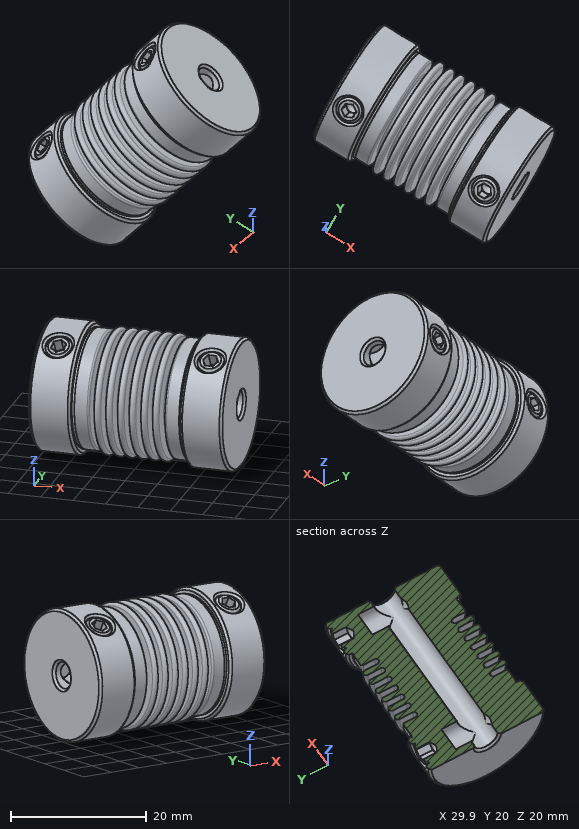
import cadquery as cq
import math

length = 29.9
hub_diameter = 20.0
hub_width = 6.5
hub_chamfer = 0.4

neck_radius = 9.1
neck_width = 0.4
collar_radius = 9.12
collar_width = 2.25
collar_fillet = 0.3

fin_count = 6
fin_radius = 9.6
fin_width = 0.95
valley_radius = 6.4

bore_radius = 2.0
bore_chamfer = 0.4

screw_radius = 2.0
screw_length = 5.0
screw_chamfer = 0.42
screws_per_hub = 2
screw_spacing_angle = 120.0
screw_hole_chamfer = 0.4
socket_sides = 6
socket_flats = 2.0
socket_depth = 2.33
socket_point_angle = 120.0

left_screw_angle = 58.0
left_screw_face = 9.7
left_socket_turn = 5.0
right_screw_angle = 59.4
right_screw_face = 9.8
right_socket_turn = 30.0

hub_radius = hub_diameter / 2
half_length = length / 2
hub_inner_end = half_length - hub_width
collar_outer_end = hub_inner_end - neck_width
collar_inner_end = collar_outer_end - collar_width
hub_middle = half_length - hub_width / 2
valley_width = (2 * collar_inner_end - fin_count * fin_width) / (fin_count + 1)


def x_cylinder(start_x, end_x, radius):
    return cq.Workplane("YZ", origin=(start_x, 0, 0)).circle(radius).extrude(end_x - start_x)


def place_radially(body, angle):
    """Turn a body built along +Z to an angle from -Y and move it to the +X hub."""
    return body.rotate((0, 0, 0), (1, 0, 0), 90 - angle).translate((hub_middle, 0, 0))


def hub_surface_point(angle):
    """Point on the middle of the +X hub's round surface, at an angle from -Y."""
    turn = math.radians(angle)
    return (hub_middle, -hub_radius * math.cos(turn), hub_radius * math.sin(turn))


def make_screw(face_height, socket_turn):
    """Set screw along +Z with a hexagon socket that ends in a drill point."""
    body = (
        cq.Workplane("XY", origin=(0, 0, face_height - screw_length))
        .circle(screw_radius)
        .extrude(screw_length)
        .faces(">Z")
        .chamfer(screw_chamfer)
    )
    floor_height = face_height - socket_depth
    hexagon = (
        cq.Workplane("XY", origin=(0, 0, floor_height))
        .polygon(socket_sides, socket_flats, circumscribed=True)
        .extrude(socket_depth)
    )
    point_radius = socket_flats / 2
    point_depth = point_radius / math.tan(math.radians(socket_point_angle / 2))
    point_base = cq.Vector(0, 0, floor_height)
    point = cq.Workplane(
        cq.Solid.makeCone(point_radius, 0, point_depth, point_base, cq.Vector(0, 0, -1))
    )
    socket = hexagon.union(point).rotate((0, 0, 0), (0, 0, 1), socket_turn)
    return body.cut(socket)


def make_hub(first_screw_angle, screw_face, socket_turn):
    """Hub of the +X end with its chamfered screw holes and set screws."""
    hub = x_cylinder(hub_inner_end, half_length, hub_radius).edges().chamfer(hub_chamfer)
    hub = hub.rotate((0, 0, 0), (1, 0, 0), -90)
    hole = cq.Workplane("XY").circle(screw_radius).extrude(hub_diameter)
    screw = make_screw(screw_face, socket_turn)
    screw_angles = [first_screw_angle + i * screw_spacing_angle for i in range(screws_per_hub)]

    for angle in screw_angles:
        hub = hub.cut(place_radially(hole, angle))
        rim = cq.selectors.NearestToPointSelector(hub_surface_point(angle))
        hub = hub.edges(rim).chamfer(screw_hole_chamfer)
    for angle in screw_angles:
        hub = hub.union(place_radially(screw, angle))
    return hub


def make_neck_and_collar():
    """Neck and collar that join the +X hub to the bellows."""
    neck = x_cylinder(collar_outer_end, hub_inner_end, neck_radius)
    collar = x_cylinder(collar_inner_end, collar_outer_end, collar_radius)
    return collar.faces("<X").edges().fillet(collar_fillet).union(neck)


def make_bellows():
    """Revolved row of fully rounded valleys and fins between the two collars."""
    valley_shoulder = valley_radius + valley_width / 2
    fin_shoulder = fin_radius - fin_width / 2
    x = -collar_inner_end
    profile = cq.Workplane("XY").moveTo(x, 0)
    for index in range(fin_count + 1):
        profile = profile.lineTo(x, valley_shoulder).threePointArc(
            (x + valley_width / 2, valley_radius), (x + valley_width, valley_shoulder)
        )
        x += valley_width
        if index < fin_count:
            profile = profile.lineTo(x, fin_shoulder).threePointArc(
                (x + fin_width / 2, fin_radius), (x + fin_width, fin_shoulder)
            )
            x += fin_width
    return profile.lineTo(x, 0).close().revolve(360, (0, 0, 0), (1, 0, 0))


def make_bore():
    """Through bore with a conical chamfer at each end."""
    bore = x_cylinder(-half_length, half_length, bore_radius)
    mouth = cq.Workplane(
        cq.Solid.makeCone(
            bore_radius + bore_chamfer,
            bore_radius,
            bore_chamfer,
            cq.Vector(half_length, 0, 0),
            cq.Vector(-1, 0, 0),
        )
    )
    return bore.union(mouth).union(mouth.mirror("YZ"))


right_hub = make_hub(right_screw_angle, right_screw_face, right_socket_turn)
left_hub = make_hub(left_screw_angle, left_screw_face, left_socket_turn).mirror("YZ")
collar = make_neck_and_collar()

result = make_bellows().union(collar).union(collar.mirror("YZ"))
result = result.union(right_hub).union(left_hub)
result = result.cut(make_bore())